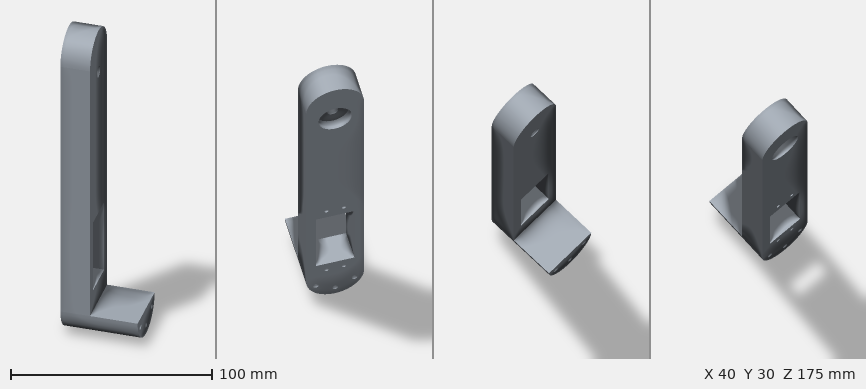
import cadquery as cq

height = 175.0
width = 30.0
end_radius = width / 2
arm_thickness = 15.4
foot_length = 40.0

pivot_z = 150.5
pivot_diameter = 6.0
recess_diameter = 17.1
recess_depth = 5.0

window_width = 19.8
window_height = 40.0
window_z = 47.0
screw_diameter = 2.1
screw_depth = 10.0
screw_spacing_y = 9.0
screw_spacing_z = 50.5

foot_hole_diameter = 3.0
foot_side_hole_y = 10.0
foot_side_hole_z = 10.0
foot_center_hole_z = 5.0


def face_plane():
    """Sketch plane on the flat outer face: local x is Y, local y is Z."""
    return cq.Workplane("YZ")


def make_arm():
    middle_height = height - 2 * end_radius
    return (
        face_plane()
        .moveTo(-end_radius, end_radius)
        .threePointArc((0, 0), (end_radius, end_radius))
        .vLine(middle_height)
        .threePointArc((0, height), (-end_radius, height - end_radius))
        .close()
        .extrude(arm_thickness)
    )


def make_foot():
    return (
        face_plane()
        .moveTo(-end_radius, end_radius)
        .threePointArc((0, 0), (end_radius, end_radius))
        .close()
        .extrude(foot_length)
    )


def round_cutters(centers, diameter, depth):
    return face_plane().pushPoints(centers).circle(diameter / 2).extrude(depth)


body = make_arm().union(make_foot())

pivot_center = [(0, pivot_z)]
body = body.cut(round_cutters(pivot_center, pivot_diameter, arm_thickness))
body = body.cut(round_cutters(pivot_center, recess_diameter, recess_depth))

window = face_plane().center(0, window_z).rect(window_width, window_height).extrude(arm_thickness)
body = body.cut(window)

screw_centers = [
    (side * screw_spacing_y / 2, window_z + end * screw_spacing_z / 2)
    for side in (-1, 1)
    for end in (-1, 1)
]
body = body.cut(round_cutters(screw_centers, screw_diameter, screw_depth))

foot_hole_centers = [
    (-foot_side_hole_y, foot_side_hole_z),
    (0, foot_center_hole_z),
    (foot_side_hole_y, foot_side_hole_z),
]
result = body.cut(round_cutters(foot_hole_centers, foot_hole_diameter, foot_length))